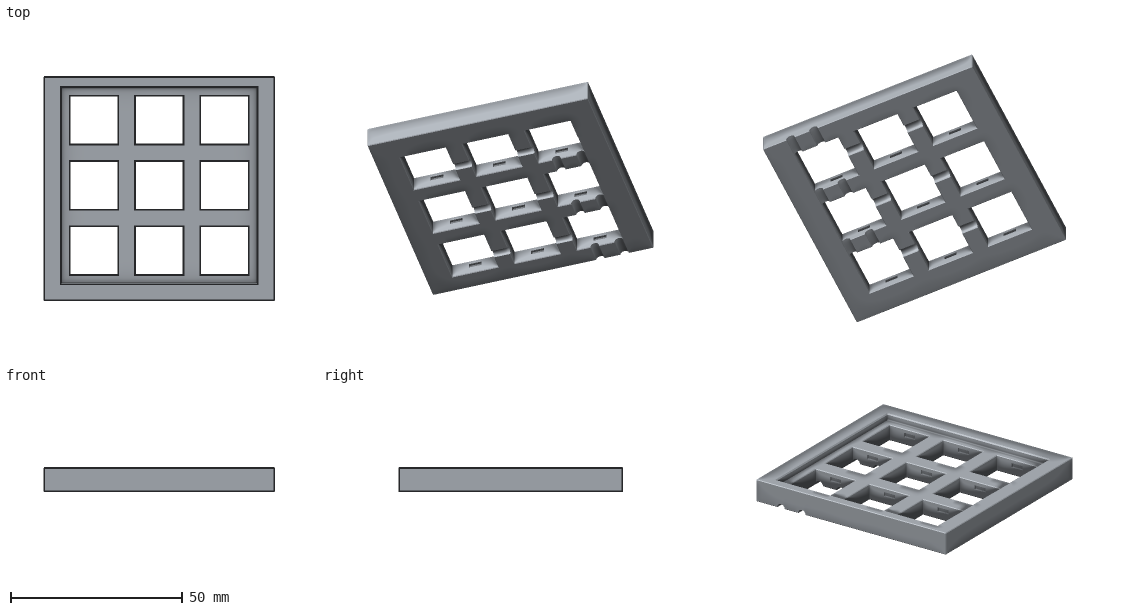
import cadquery as cq

LENGTH_X = 67.4
LENGTH_Y = 65.45
HEIGHT = 7.0
EDGE_CHAMFER = 0.2

RECESS_SIZE = 57.15
RECESS_DEPTH = 2.0
RECESS_CHAMFER = 0.35
FOOT_RADIUS = 0.4
FLOOR_Z = HEIGHT - RECESS_DEPTH

COUNT = 3
PITCH = RECESS_SIZE / COUNT
OPENING = 14.0
OPENING_CHAMFER = 0.2
GRID_OFFSET_Y = 0.95
GRID_STEPS = [i - (COUNT - 1) / 2 for i in range(COUNT)]
COLUMNS_X = [step * PITCH for step in GRID_STEPS]
ROWS_Y = [GRID_OFFSET_Y + step * PITCH for step in GRID_STEPS]

CLIP_WIDTH = 3.9
CLIP_HEIGHT = 1.35
CLIP_DEPTH = 0.75
CLIP_DROP = 1.2

GROOVE_RADIUS = 1.35
ROW_GROOVE_OFFSET = 1.4
COLUMN_GROOVE_OFFSETS = (-1.6, 5.8)


def box(size_x, size_y, z_bottom, z_top, x=0, y=0):
    """Upright box centred on (x, y) between two heights."""
    base = cq.Workplane("XY", origin=(x, y, z_bottom))
    return base.rect(size_x, size_y).extrude(z_top - z_bottom)


def chamfer_flare(size, chamfer, z_rim, inward, x=0, y=0):
    """Square cut that widens at 45 degrees to a rim; inward is the Z direction into the body."""
    rim_size = size + 2 * chamfer
    return (
        cq.Workplane("XY", origin=(x, y, z_rim))
        .rect(rim_size, rim_size)
        .workplane(offset=inward * chamfer)
        .rect(size, size)
        .loft(ruled=True)
    )


def recess():
    """Top recess with a chamfered rim and filleted floor edges along X."""
    pocket = box(RECESS_SIZE, RECESS_SIZE, FLOOR_Z, HEIGHT, y=GRID_OFFSET_Y)
    pocket = pocket.faces("<Z").edges("|X").fillet(FOOT_RADIUS)
    return pocket.union(chamfer_flare(RECESS_SIZE, RECESS_CHAMFER, HEIGHT, -1, y=GRID_OFFSET_Y))


def key_opening(x, y):
    """Through opening chamfered at both ends, with clip pockets in its Y walls."""
    clip_top = FLOOR_Z - CLIP_DROP
    clip_span = OPENING + 2 * CLIP_DEPTH
    return (
        box(OPENING, OPENING, 0, FLOOR_Z, x, y)
        .union(chamfer_flare(OPENING, OPENING_CHAMFER, FLOOR_Z, -1, x, y))
        .union(chamfer_flare(OPENING, OPENING_CHAMFER, 0, 1, x, y))
        .union(box(CLIP_WIDTH, clip_span, clip_top - CLIP_HEIGHT, clip_top, x, y))
    )


def groove(x, y, direction, length):
    """Round bar along the bottom plane; its upper half cuts the groove."""
    start = cq.Vector(x, y, 0)
    bar = cq.Solid.makeCylinder(GROOVE_RADIUS, length, start, cq.Vector(direction))
    return cq.Workplane(bar)


body = box(LENGTH_X, LENGTH_Y, 0, HEIGHT).edges().chamfer(EDGE_CHAMFER)
body = body.cut(recess())

for column_x in COLUMNS_X:
    for row_y in ROWS_Y:
        body = body.cut(key_opening(column_x, row_y))

row_length = COLUMNS_X[-1] - COLUMNS_X[0]
for row_y in ROWS_Y:
    body = body.cut(groove(COLUMNS_X[0], row_y + ROW_GROOVE_OFFSET, (1, 0, 0), row_length))

first_row_y = ROWS_Y[0]
column_length = LENGTH_Y / 2 - first_row_y
for offset in COLUMN_GROOVE_OFFSETS:
    body = body.cut(groove(COLUMNS_X[-1] + offset, first_row_y, (0, 1, 0), column_length))

result = body